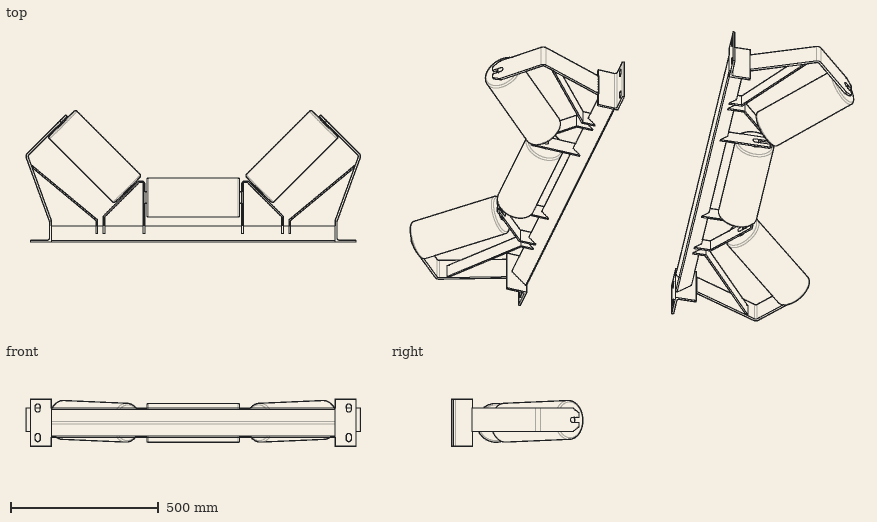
import cadquery as cq
import math


beam_leg = 70.0
beam_thickness = 7.0
beam_root_radius = 7.0
beam_half_length = 480.0
beam_ridge_y = (beam_leg + beam_thickness) * math.sqrt(0.5)

end_leg = 71.0
end_thickness = 7.0
end_height = 160.0
end_root_radius = 7.0
end_toe_radius = 5.0
bolt_slot_spacing = 100.0
bolt_slot_width = 17.0
bolt_slot_length = 27.0
bolt_slot_from_heel = 46.0

overall_half_span = 566.0
arm_thickness = 8.0
arm_height = 80.0
arm_z = 10.0
arm_lean = 20.0
arm_knee_radius = 16.0
arm_upper_length = 191.0
arm_tip_chamfer_along = 28.0
arm_tip_chamfer_z = 16.0

flat_thickness = 6.0
flat_height = 50.0
foot_end_y = 28.0
inner_leg_x = 167.0
inner_top_y = 204.0
inner_top_end_x = 185.0
inner_foot_x = 302.0
inner_bend_radius = 10.0
brace_foot_x = 326.0
brace_bend_y = 74.0
brace_top_rise = 190.0

roller_diameter = 133.0
roller_length = 315.0
roller_edge_radius = 6.0
centre_roller_y = 151.0
side_roller_angle = 45.0
side_axis_offset = 44.0
side_roller_gap = 6.0
shaft_diameter = 17.0
collar_diameter = 40.0
journal_flat = 10.0
slot_reach = 102.0



def mirrored(body):
    return body.mirror("YZ")


def mitred_side(path, offset):
    """Points of a polyline moved sideways by offset, with mitred corners."""
    headings = [math.atan2(b[1] - a[1], b[0] - a[0]) for a, b in zip(path, path[1:])]
    before = [headings[0]] + headings
    after = headings + [headings[-1]]
    moved = []
    for (x, y), h0, h1 in zip(path, before, after):
        normal = (h0 + h1) / 2 + math.pi / 2
        reach = offset / math.cos((h1 - h0) / 2)
        moved.append((x + reach * math.cos(normal), y + reach * math.sin(normal)))
    return moved


def bent_flat(path, thickness, height, mid_z=0.0):
    """Flat bar standing on edge and following a polyline in X and Y."""
    outline = mitred_side(path, thickness / 2) + mitred_side(path, -thickness / 2)[::-1]
    bar = cq.Workplane("XY", origin=(0, 0, mid_z - height / 2))
    return bar.polyline(outline).close().extrude(height)


def beam_envelope():
    """Triangular prism between the beam's outer faces, used to cope the feet."""
    corners = [(beam_ridge_y, 0), (0, beam_ridge_y), (0, -beam_ridge_y)]
    prism = cq.Workplane("YZ").polyline(corners).close()
    return prism.extrude(beam_half_length, both=True)



lean = math.radians(arm_lean)
slope = math.radians(side_roller_angle)
knee_half_turn = (lean + slope) / 2
knee_normal = math.pi + lean - knee_half_turn
arm_start = (-beam_half_length - end_thickness / 2, end_leg)
knee_x = (-overall_half_span + arm_knee_radius
          + (arm_knee_radius - arm_thickness / 2) / math.cos(knee_half_turn) * math.cos(knee_normal))
knee = (knee_x, arm_start[1] + (arm_start[0] - knee_x) / math.tan(lean))
arm_tip = (knee[0] + arm_upper_length * math.sin(slope), knee[1] + arm_upper_length * math.cos(slope))

inner_foot_y = inner_top_y - (inner_foot_x - inner_top_end_x) * math.tan(slope)


def on_side_axis(difference):
    """Point of the side roller axis, in plan, for a given x - y."""
    return ((difference - side_axis_offset) / 2, (-side_axis_offset - difference) / 2)


inner_seat = on_side_axis(-inner_top_end_x - inner_top_y)
outer_seat = on_side_axis(knee[0] - knee[1])
seat_distance = math.dist(inner_seat, outer_seat)
axis_tilt = math.atan2(arm_z, seat_distance)

centre_frame = cq.Plane(origin=(0, centre_roller_y, 0), xDir=(0, 1, 0), normal=(1, 0, 0))
side_frame = cq.Plane(
    origin=(inner_seat[0], inner_seat[1], 0),
    xDir=(math.sin(slope), math.cos(slope), 0),
    normal=(-math.cos(slope) * math.cos(axis_tilt),
            math.sin(slope) * math.cos(axis_tilt),
            math.sin(axis_tilt)),
)

centre_ends = (-inner_leg_x, inner_leg_x)
side_ends = (0.0, seat_distance / math.cos(axis_tilt))
centre_roller_start = -roller_length / 2
side_roller_start = flat_thickness / 2 + side_roller_gap



def d_prism(frame, start, end, straight):
    """Prism along a roller axis: half round at the bottom, straight towards the slot opening."""
    radius = shaft_diameter / 2
    profile = cq.Workplane(frame).workplane(offset=start).moveTo(straight, radius).lineTo(0, radius)
    profile = profile.threePointArc((-radius, 0), (0, -radius)).lineTo(straight, -radius).close()
    return profile.extrude(end - start)


def cylinder(frame, start, end, diameter):
    return cq.Workplane(frame).workplane(offset=start).circle(diameter / 2).extrude(end - start)


def make_roller(frame, start):
    roller = cylinder(frame, start, start + roller_length, roller_diameter)
    roller = roller.edges().fillet(roller_edge_radius)
    return roller.cut(cylinder(frame, start, start + roller_length, shaft_diameter))


def make_shaft(frame, ends, end_thicknesses, roller_start):
    """Round shaft with a collar against each roller face and a D-shaped journal in each flat."""
    roller_end = roller_start + roller_length
    near_face = ends[0] + end_thicknesses[0] / 2
    far_face = ends[1] - end_thicknesses[1] / 2
    shaft = cylinder(frame, roller_start, roller_end, shaft_diameter)
    shaft = shaft.union(cylinder(frame, near_face, roller_start, collar_diameter))
    shaft = shaft.union(cylinder(frame, roller_end, far_face, collar_diameter))
    shaft = shaft.union(d_prism(frame, near_face - end_thicknesses[0], near_face, journal_flat))
    return shaft.union(d_prism(frame, far_face, far_face + end_thicknesses[1], journal_flat))


def shaft_slot(frame, position):
    """Cutter for the open slot of a flat crossed at a given distance along the axis."""
    return d_prism(frame, position - arm_thickness, position + arm_thickness, slot_reach)



def make_inner_bracket():
    path = [
        (-inner_leg_x, foot_end_y),
        (-inner_leg_x, inner_top_y),
        (-inner_top_end_x, inner_top_y),
        (-inner_foot_x, inner_foot_y),
        (-inner_foot_x, foot_end_y),
    ]
    bracket = bent_flat(path, flat_thickness, flat_height)
    half = flat_thickness / 2
    top_corner = cq.selectors.NearestToPointSelector((half - inner_leg_x, half + inner_top_y, 0))
    bracket = bracket.edges("|Z").edges(top_corner).fillet(inner_bend_radius)
    bracket = bracket.cut(shaft_slot(centre_frame, centre_ends[0]))
    bracket = bracket.cut(shaft_slot(side_frame, side_ends[0]))
    return bracket.cut(beam_envelope())


def make_beam():
    section = [
        (0, 0),
        (beam_leg, 0),
        (beam_leg, beam_thickness),
        (beam_thickness, beam_thickness),
        (beam_thickness, beam_leg),
        (0, beam_leg),
    ]
    diagonal = math.sqrt(0.5)
    ridge = cq.Plane(origin=(beam_half_length, beam_ridge_y, 0),
                     xDir=(0, -diagonal, -diagonal), normal=(-1, 0, 0))
    beam = cq.Workplane(ridge).polyline(section).close().extrude(2 * beam_half_length)
    root_y = beam_ridge_y - beam_thickness / diagonal
    beam = beam.edges(cq.selectors.NearestToPointSelector((0, root_y, 0))).fillet(beam_root_radius)
    bracket = make_inner_bracket()
    return beam.union(bracket).union(mirrored(bracket))



def make_end_angle():
    heel_x = -beam_half_length
    section = [
        (heel_x, 0),
        (heel_x, end_leg),
        (heel_x - end_thickness, end_leg),
        (heel_x - end_thickness, end_thickness),
        (heel_x - end_leg, end_thickness),
        (heel_x - end_leg, 0),
    ]
    angle = cq.Workplane("XY").polyline(section).close().extrude(end_height / 2, both=True)
    root = cq.selectors.NearestToPointSelector((*section[3], 0))
    angle = angle.edges("|Z").edges(root).fillet(end_root_radius)
    toe = cq.selectors.NearestToPointSelector((*section[4], 0))
    angle = angle.edges("|Z").edges(toe).fillet(end_toe_radius)
    slots = cq.Workplane("XZ", origin=(heel_x - bolt_slot_from_heel, 0, 0))
    slots = slots.pushPoints([(0, bolt_slot_spacing / 2), (0, -bolt_slot_spacing / 2)])
    slots = slots.slot2D(bolt_slot_length, bolt_slot_width, 90).extrude(-2 * end_thickness)
    return angle.cut(slots)


def tip_chamfer(side):
    """Wedge that removes one corner of the arm's tip; side is +1 at the top, -1 at the bottom."""
    edge_z = arm_z + side * arm_height / 2
    along = (math.sin(slope), math.cos(slope), 0)
    across = (math.cos(slope), -math.sin(slope), 0)
    face = cq.Plane(origin=(arm_tip[0], arm_tip[1], edge_z), xDir=along, normal=across)
    corners = [(0, 0), (-arm_tip_chamfer_along, 0), (0, -side * arm_tip_chamfer_z)]
    return cq.Workplane(face).polyline(corners).close().extrude(arm_thickness, both=True)


def make_arm():
    arm = bent_flat([arm_start, knee, arm_tip], arm_thickness, arm_height, arm_z)
    reach = arm_thickness / 2 / math.cos(knee_half_turn)
    for direction, radius in ((1, arm_knee_radius), (-1, arm_knee_radius - arm_thickness)):
        corner = (knee[0] + direction * reach * math.cos(knee_normal),
                  knee[1] + direction * reach * math.sin(knee_normal), arm_z)
        arm = arm.edges("|Z").edges(cq.selectors.NearestToPointSelector(corner)).fillet(radius)
    for side in (1, -1):
        arm = arm.cut(tip_chamfer(side))
    return arm.cut(shaft_slot(side_frame, side_ends[1]))


def make_brace():
    """Thin flat from the beam to the middle of the arm's thickness."""
    top = (arm_start[0] - brace_top_rise * math.tan(lean), arm_start[1] + brace_top_rise)
    path = [(-brace_foot_x, foot_end_y), (-brace_foot_x, brace_bend_y), top]
    return bent_flat(path, flat_thickness, flat_height).cut(beam_envelope())


def make_side_bracket():
    return make_end_angle().union(make_arm()).union(make_brace())



beam = make_beam()
left_bracket = make_side_bracket()
centre_roller = make_roller(centre_frame, centre_roller_start)
centre_shaft = make_shaft(centre_frame, centre_ends, (flat_thickness, flat_thickness), centre_roller_start)
left_roller = make_roller(side_frame, side_roller_start)
left_shaft = make_shaft(side_frame, side_ends, (flat_thickness, arm_thickness), side_roller_start)

left_shaft = left_shaft.cut(beam).cut(left_bracket)

bodies = [body.solids().val() for body in (beam, centre_roller, centre_shaft)]
for left_body in (left_bracket, left_roller, left_shaft):
    bodies.append(left_body.solids().val())
    bodies.append(mirrored(left_body).solids().val())

result = cq.Compound.makeCompound(bodies)